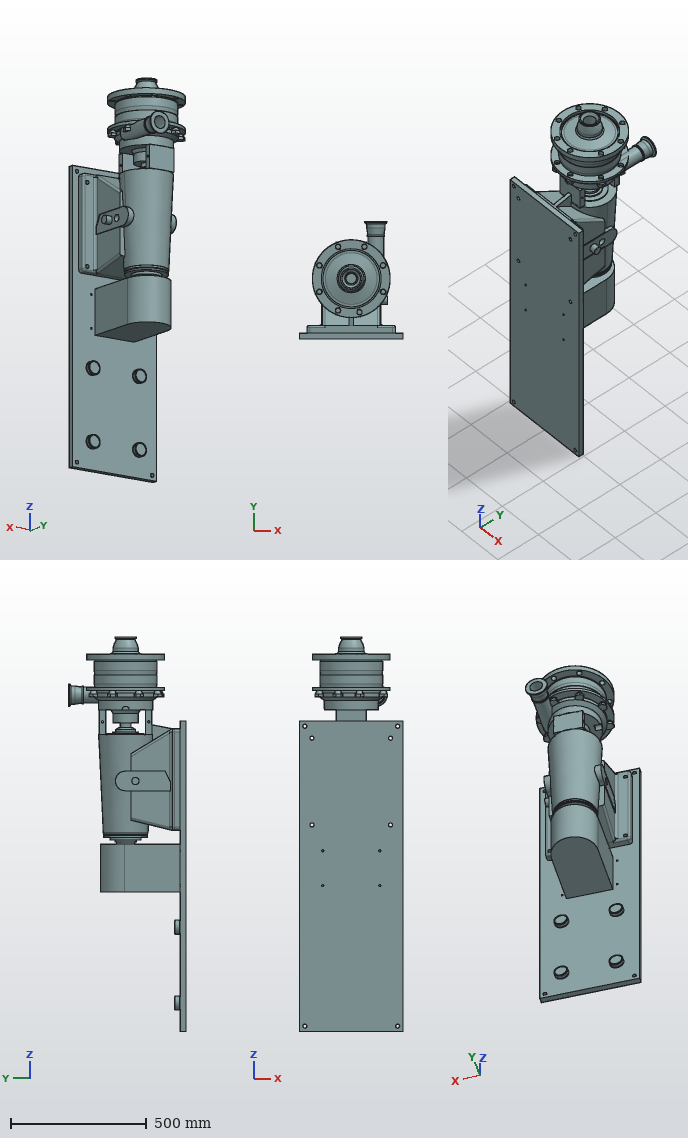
import cadquery as cq
import math


plate_width = 381.0
plate_height = 1143.0
plate_thickness = 22.2
plate_front = -200.4
plate_back = plate_front - plate_thickness

corner_hole_dia = 14.0
corner_hole_inset = 20.0

guard_bottom = 513.0
guard_top = 689.0
guard_radius = 88.5
guard_axis_y = 4.0
guard_screw_dia = 6.5
guard_screw_inset = 24.0
guard_screw_half_pitch = 105.0

pad_radius = 26.5
pad_waist_radius = 23.0
pad_height = 21.0
pad_collar = 3.0
pad_half_pitch = 105.0
pad_levels = (105.0, 384.0)

overall_height = 1451.3
overall_depth = 433.23
inlet_radius = 39.3
inlet_mouth_radius = 34.0
inlet_mouth_depth = 12.0
inlet_bore_radius = 24.0
inlet_throat_radius = 19.0
inlet_bore_depth = 90.0
ferrule_thickness = 5.0
nozzle_neck_radius = 34.0
nozzle_radius = 47.0
nozzle_shoulder_z = 1410.0
nozzle_root_radius = 52.0
nozzle_root_height = 6.0
nozzle_bulge = 1.5

flange_radius = 143.4
cover_flange_top = 1388.0
cover_flange_bottom = 1366.0
cover_dish_radius = 110.0
cover_dish_depth = 8.0
cover_groove_inner_radius = 104.0
cover_groove_depth = 4.0
cover_dome_radius = 95.0
cover_dome_rise = 3.0
cover_joint_radius = 113.0
cover_joint_bottom = 1361.0

casing_radius = 116.0
casing_edge_radius = 113.8
upper_taper_top = 1327.0
upper_taper_bottom = 1311.0
lower_taper_top = 1279.0
rear_flange_top = 1265.5
rear_flange_bottom = 1253.5
back_radius = 118.0
back_neck_radius = 113.0
back_neck_bottom = 1246.0
back_taper_top = 1231.0
back_taper_bottom = 1218.0
adapter_radius = 100.0
adapter_bottom = 1183.0
weep_hole_radius = 13.0
weep_hole_depth = 25.0

bolt_circle_radius = 127.0
bolt_count = 8
bolt_first_angle = 22.5
shifted_bolt = 6
shifted_bolt_angle = -76.2
bolt_hole_radius = 10.0
nut_width = 36.0
nut_bottom = 1231.0
nut_shoulder = 1242.0
nut_tip_radius = 9.0

discharge_x = 90.5
discharge_z = 1237.5
discharge_tip = overall_depth + plate_back
discharge_pipe_radius = 29.8
discharge_joint_y = 161.0
discharge_joint_radius = 32.5
discharge_joint_width = 6.0
discharge_adapter_radius = 30.0
discharge_neck_radius = 34.0
discharge_neck_length = 24.0
discharge_ferrule_radius = 41.5
discharge_bore_depth = 100.0

seal_flare_radius = 55.0
seal_radius = 47.0
seal_flare_bottom = 1170.0
seal_bottom = 1135.0
shaft_radius = 20.0
gland_top = 1118.0
gland_radius = 37.0
gland_nose_radius = 26.0
gland_shoulder = 1110.0
gland_base = 1101.0
gland_step_radius = 48.0
gland_plate_top = 1096.0
gland_plate_radius = 68.0

bracket_width = 111.0
bracket_inner = 73.0
bracket_outer = 97.0
bracket_hole_dia = 7.0
bracket_hole_z = 1139.0

frame_top = 1092.3
frame_top_radius = 100.0
frame_bottom = 731.0
frame_bottom_radius = 83.0
frame_ring_radius = 81.0
frame_ring_bottom = 714.0
frame_groove_top = 724.0
frame_groove_bottom = 721.0
frame_groove_radius = 79.5
end_cover_radius = 57.0
end_cover_bottom = 704.0
end_step_radius = 40.0
end_step_bottom = 698.0
end_hub_radius = 34.0

foot_width = 326.0
foot_top = -171.5
foot_edge_radius = 8.0
foot_corner_radius = 12.0
foot_lower_z = 739.5
foot_upper_z = 1114.0
foot_middle_y = (foot_top + plate_front) / 2
foot_middle_z = (foot_upper_z + foot_lower_z) / 2
foot_hole_dia = 14.0
foot_hole_half_pitch = 144.5
foot_hole_levels = (760.0, 1079.0)

pedestal_half_width = 106.0
pedestal_foot_radius = 11.0
pedestal_edge_radius = 9.0
pedestal_inner_y = -20.0
pedestal_inner_upper_z = 1022.0
pedestal_inner_lower_z = 777.0

lug_half_width = 109.0
lug_z = 921.5
lug_half_height = 36.0
lug_tip_y = 37.5
lug_root_y = -165.0
lug_root_radius = 20.0
lug_hole_y = -36.0
lug_hole_dia = 27.0
lug_hole_depth = 20.0

oil_gauge_y = -80.0
oil_gauge_radius = 16.0
oil_gauge_tip_x = 134.0

rib_thickness = 16.0
rib_top_z = 1128.5


def facing_rear(y):
    """Workplane at the given Y whose normal points to -Y: local X is X, local Y is Z."""
    return cq.Workplane("XZ", origin=(0, y, 0))


def cylinder_to_front(x, z, radius, start_y, length):
    """Round bar or drill running in +Y from start_y."""
    return facing_rear(start_y).center(x, z).circle(radius).extrude(-length)


def make_plate():
    plane = facing_rear(plate_front).center(0, plate_height / 2)
    return plane.rect(plate_width, plate_height).extrude(plate_thickness)


def make_guard():
    outline = (
        cq.Workplane("XY", origin=(0, 0, guard_bottom))
        .moveTo(-guard_radius, plate_front)
        .lineTo(-guard_radius, guard_axis_y)
        .threePointArc((0, guard_axis_y + guard_radius), (guard_radius, guard_axis_y))
        .lineTo(guard_radius, plate_front)
        .close()
    )
    return outline.extrude(guard_top - guard_bottom)


def make_pad(x, z):
    waist = cylinder_to_front(x, z, pad_waist_radius, plate_front, pad_height)
    body = cylinder_to_front(x, z, pad_radius, plate_front + pad_collar, pad_height - 2 * pad_collar)
    return waist.union(body)


def foot_hole_drills(start_y, length):
    drills = cq.Workplane()
    for side in (-1, 1):
        for z in foot_hole_levels:
            drills = drills.add(
                cylinder_to_front(side * foot_hole_half_pitch, z, foot_hole_dia / 2, start_y, length)
            )
    return drills.combine()


def make_base():
    base = make_plate().union(make_guard())
    for side in (-1, 1):
        for z in pad_levels:
            base = base.union(make_pad(side * pad_half_pitch, z))
        for z in (corner_hole_inset, plate_height - corner_hole_inset):
            x = side * (plate_width / 2 - corner_hole_inset)
            base = base.cut(cylinder_to_front(x, z, corner_hole_dia / 2, plate_back, plate_thickness))
        for z in (guard_bottom + guard_screw_inset, guard_top - guard_screw_inset):
            x = side * guard_screw_half_pitch
            base = base.cut(cylinder_to_front(x, z, guard_screw_dia / 2, plate_back, plate_thickness))
    return base.cut(foot_hole_drills(plate_back, plate_thickness))


def revolve_profile(points):
    """Solid of revolution about Z from (radius, z) points that start and end on the axis."""
    return cq.Workplane("XZ").polyline(points).close().revolve(360, (0, 0), (0, 1))


def make_wet_end():
    """Inlet nozzle, cover, casing and back adapter, one turned shape."""
    neck_z = overall_height - 2 * ferrule_thickness
    nozzle_curve_mid = (
        (nozzle_neck_radius + nozzle_radius) / 2 + nozzle_bulge,
        (neck_z + nozzle_shoulder_z) / 2 + nozzle_bulge,
    )
    dish_z = cover_flange_top - cover_dish_depth
    dome_z = cover_flange_top + cover_dome_rise
    profile = (
        cq.Workplane("XZ")
        .moveTo(0, overall_height)
        .lineTo(inlet_radius, overall_height)
        .lineTo(inlet_radius, overall_height - ferrule_thickness)
        .lineTo(nozzle_neck_radius, neck_z)
        .threePointArc(nozzle_curve_mid, (nozzle_radius, nozzle_shoulder_z))
        .lineTo(nozzle_radius, dome_z + nozzle_root_height)
        .lineTo(nozzle_root_radius, dome_z)
        .lineTo(cover_dome_radius, dish_z)
        .lineTo(cover_groove_inner_radius, dish_z)
        .lineTo(cover_groove_inner_radius, dish_z - cover_groove_depth)
        .lineTo(cover_dish_radius, dish_z - cover_groove_depth)
        .lineTo(cover_dish_radius, cover_flange_top)
        .lineTo(flange_radius, cover_flange_top)
        .lineTo(flange_radius, cover_flange_bottom)
        .lineTo(cover_joint_radius, cover_flange_bottom)
        .lineTo(cover_joint_radius, cover_joint_bottom)
        .lineTo(casing_radius, cover_joint_bottom)
        .lineTo(casing_radius, upper_taper_top)
        .lineTo(casing_edge_radius, upper_taper_bottom)
        .lineTo(casing_radius, upper_taper_bottom)
        .lineTo(casing_radius, lower_taper_top)
        .lineTo(casing_edge_radius, rear_flange_top)
        .lineTo(flange_radius, rear_flange_top)
        .lineTo(flange_radius, rear_flange_bottom)
        .lineTo(back_neck_radius, rear_flange_bottom)
        .lineTo(back_neck_radius, back_neck_bottom)
        .lineTo(back_radius, back_neck_bottom)
        .lineTo(back_radius, back_taper_top)
        .lineTo(adapter_radius, back_taper_bottom)
        .lineTo(adapter_radius, adapter_bottom)
        .lineTo(0, adapter_bottom)
        .close()
    )
    return profile.revolve(360, (0, 0), (0, 1))


def inlet_bore():
    bottom = overall_height - inlet_bore_depth
    return revolve_profile(
        [
            (0, overall_height),
            (inlet_mouth_radius, overall_height),
            (inlet_bore_radius, overall_height - inlet_mouth_depth),
            (inlet_throat_radius, bottom),
            (0, bottom),
        ]
    )


def bolt_angles():
    angles = [bolt_first_angle + i * 360 / bolt_count for i in range(bolt_count)]
    angles[shifted_bolt] = shifted_bolt_angle
    return angles


def at_bolt_circle(shape, angle):
    """Move a shape built on the Z axis out to the bolt circle at the given angle."""
    return shape.translate((bolt_circle_radius, 0, 0)).rotate((0, 0, 0), (0, 0, 1), angle)


def make_nut():
    plane = cq.Workplane("XY", origin=(0, 0, nut_bottom))
    hexagon = plane.polygon(6, nut_width).extrude(nut_shoulder - nut_bottom)
    cone = revolve_profile(
        [
            (0, nut_shoulder),
            (nut_width * math.cos(math.radians(30)) / 2, nut_shoulder),
            (nut_tip_radius, rear_flange_bottom),
            (0, rear_flange_bottom),
        ]
    )
    return hexagon.union(cone)


def flange_hole(bottom, top):
    return cq.Workplane("XY", origin=(0, 0, bottom)).circle(bolt_hole_radius).extrude(top - bottom)


def turned_to_front(points):
    """Revolve (radius, y) points about the discharge axis, which runs along Y."""
    turned = cq.Workplane("XY").polyline(points).close().revolve(360, (0, 0), (0, 1))
    return turned.translate((discharge_x, 0, discharge_z))


def make_discharge():
    joint_end = discharge_joint_y - discharge_joint_width
    neck_y = discharge_tip - discharge_neck_length
    ferrule_y = discharge_tip - ferrule_thickness
    return turned_to_front(
        [
            (0, 0),
            (discharge_pipe_radius, 0),
            (discharge_pipe_radius, joint_end),
            (discharge_joint_radius, joint_end),
            (discharge_joint_radius, discharge_joint_y),
            (discharge_adapter_radius, discharge_joint_y),
            (discharge_neck_radius, neck_y),
            (discharge_neck_radius, ferrule_y - ferrule_thickness),
            (discharge_ferrule_radius, ferrule_y),
            (discharge_ferrule_radius, discharge_tip),
            (0, discharge_tip),
        ]
    )


def discharge_bore():
    start_y = discharge_tip - discharge_bore_depth
    return cylinder_to_front(discharge_x, discharge_z, inlet_bore_radius, start_y, discharge_bore_depth)


def weep_hole():
    plane = cq.Workplane("YZ", origin=(-adapter_radius, 0, 0))
    return plane.center(0, adapter_bottom).circle(weep_hole_radius).extrude(weep_hole_depth)


def make_shaft_and_frame():
    """Seal housing, shaft, glands and tapered bearing frame, one turned shape ending on the guard."""
    return revolve_profile(
        [
            (0, adapter_bottom),
            (seal_flare_radius, adapter_bottom),
            (seal_radius, seal_flare_bottom),
            (seal_radius, seal_bottom),
            (shaft_radius, seal_bottom),
            (shaft_radius, gland_top),
            (gland_nose_radius, gland_top),
            (gland_radius, gland_shoulder),
            (gland_radius, gland_base),
            (gland_step_radius, gland_base),
            (gland_step_radius, gland_plate_top),
            (gland_plate_radius, gland_plate_top),
            (gland_plate_radius, frame_top),
            (frame_top_radius, frame_top),
            (frame_bottom_radius, frame_bottom),
            (frame_ring_radius, frame_bottom),
            (frame_ring_radius, frame_groove_top),
            (frame_groove_radius, frame_groove_top),
            (frame_groove_radius, frame_groove_bottom),
            (frame_ring_radius, frame_groove_bottom),
            (frame_ring_radius, frame_ring_bottom),
            (end_cover_radius, frame_ring_bottom),
            (end_cover_radius, end_cover_bottom),
            (end_step_radius, end_cover_bottom),
            (end_step_radius, end_step_bottom),
            (end_hub_radius, end_step_bottom),
            (end_hub_radius, guard_top),
            (0, guard_top),
        ]
    )


def make_bracket_arm(side):
    arm = cq.Workplane("XY").box(
        bracket_width,
        bracket_outer - bracket_inner,
        adapter_bottom - frame_top,
    )
    middle_y = side * (bracket_outer + bracket_inner) / 2
    arm = arm.translate((0, middle_y, (adapter_bottom + frame_top) / 2))
    hole = cq.Workplane("YZ").center(middle_y, bracket_hole_z).circle(bracket_hole_dia / 2)
    return arm.cut(hole.extrude(bracket_width, both=True))


def make_foot():
    foot = cq.Workplane("XY").box(
        foot_width,
        foot_top - plate_front,
        foot_upper_z - foot_lower_z,
    )
    foot = foot.edges("|Y").fillet(foot_corner_radius)
    foot = foot.faces(">Y").edges().fillet(foot_edge_radius)
    return foot.translate((0, foot_middle_y, foot_middle_z))


def make_pedestal_core():
    """Wedge between frame and foot: its top and bottom slope, its side walls flare into the foot."""
    wedge = (
        cq.Workplane("YZ")
        .polyline(
            [
                (pedestal_inner_y, pedestal_inner_upper_z),
                (foot_top, foot_upper_z),
                (foot_top, foot_lower_z),
                (pedestal_inner_y, pedestal_inner_lower_z),
            ]
        )
        .close()
        .extrude(pedestal_half_width, both=True)
    )
    wedge = wedge.faces(">Z or <Z").edges("<X or >X").fillet(pedestal_edge_radius)
    foot_web = cq.Workplane("XY").box(
        2 * (pedestal_half_width - pedestal_edge_radius),
        foot_top - plate_front,
        foot_upper_z - foot_lower_z,
    )
    return wedge.union(foot_web.translate((0, foot_middle_y, foot_middle_z)))


def make_side_flare(side):
    wall_x = side * pedestal_half_width
    flare_x = side * (pedestal_half_width + pedestal_foot_radius)
    arc_offset = pedestal_foot_radius * (1 - math.sqrt(0.5))
    outline = (
        cq.Workplane("XY", origin=(0, 0, foot_lower_z + foot_corner_radius))
        .moveTo(wall_x, foot_top + pedestal_foot_radius)
        .threePointArc((wall_x + side * arc_offset, foot_top + arc_offset), (flare_x, foot_top))
        .lineTo(0, foot_top)
        .lineTo(0, foot_top + pedestal_foot_radius)
        .close()
    )
    return outline.extrude(foot_upper_z - foot_lower_z - 2 * foot_corner_radius)


def make_lug():
    plane = cq.Workplane("YZ")
    tip_center = lug_tip_y - lug_half_height
    upper_z = lug_z + lug_half_height
    lower_z = lug_z - lug_half_height
    return (
        plane.moveTo(lug_root_y, lower_z)
        .lineTo(tip_center, lower_z)
        .threePointArc((lug_tip_y, lug_z), (tip_center, upper_z))
        .lineTo(lug_root_y + lug_root_radius, upper_z)
        .lineTo(lug_root_y, upper_z - 2 * lug_root_radius)
        .close()
        .extrude(lug_half_width, both=True)
    )


def make_oil_gauge():
    plane = cq.Workplane("YZ", origin=(lug_half_width, 0, 0))
    length = oil_gauge_tip_x - lug_half_width
    return plane.center(oil_gauge_y, lug_z).circle(oil_gauge_radius).extrude(length)


def make_rib():
    outline = cq.Workplane("YZ").polyline(
        [
            (-bracket_inner, rib_top_z),
            (-bracket_outer, rib_top_z),
            (foot_top, foot_upper_z),
            (foot_top, pedestal_inner_upper_z),
            (-bracket_inner, pedestal_inner_upper_z),
        ]
    )
    return outline.close().extrude(rib_thickness / 2, both=True)


def make_pump():
    pump = make_wet_end().union(make_discharge())
    pump = pump.cut(inlet_bore()).cut(discharge_bore()).cut(weep_hole())
    for angle in bolt_angles():
        pump = pump.union(at_bolt_circle(make_nut(), angle))
        pump = pump.cut(at_bolt_circle(flange_hole(cover_flange_bottom, cover_flange_top), angle))
        pump = pump.cut(at_bolt_circle(flange_hole(rear_flange_bottom, rear_flange_top), angle))
    pump = pump.union(make_shaft_and_frame())
    for side in (-1, 1):
        pump = pump.union(make_bracket_arm(side)).union(make_side_flare(side))
    pump = pump.union(make_foot()).union(make_pedestal_core()).union(make_lug()).union(make_rib())
    for side in (-1, 1):
        hole = cq.Workplane("YZ", origin=(side * lug_half_width, 0, 0)).center(lug_hole_y, lug_z)
        pump = pump.cut(hole.circle(lug_hole_dia / 2).extrude(-side * lug_hole_depth))
    pump = pump.union(make_oil_gauge())
    return pump.cut(foot_hole_drills(plate_front, foot_top - plate_front))


base = make_base()
pump = make_pump()

result = cq.Compound.makeCompound([base.solids().val(), pump.solids().val()])